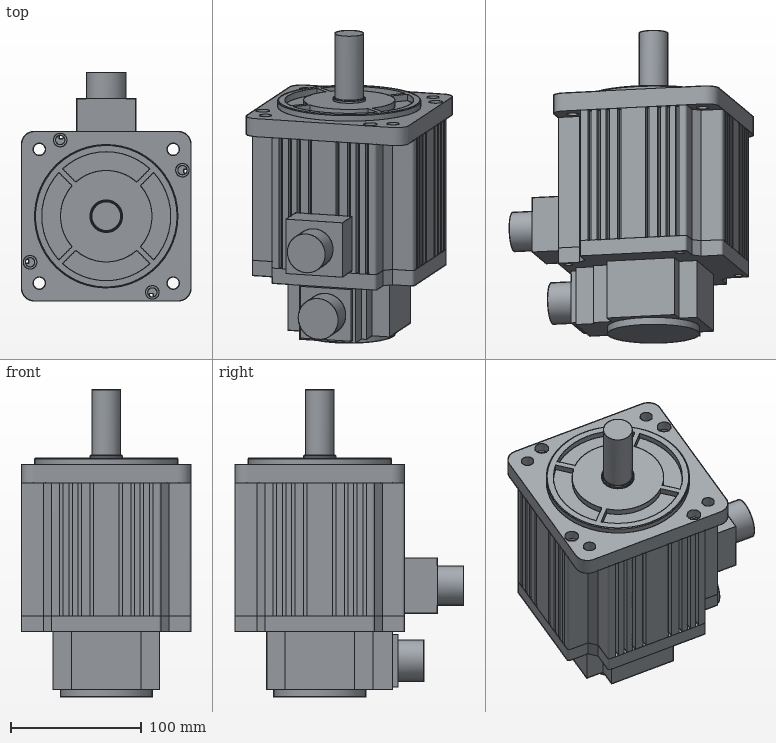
import cadquery as cq
import math


square_side = 130.0
half_side = square_side / 2
overall_depth = 175.0
side_count = 4
quarter_turn = 2 * math.pi / side_count
flange_thickness = 14.0
stator_length = 102.0
end_cap_thickness = 12.0
cover_height = 44.5

flange_bottom = -flange_thickness
stator_bottom = flange_bottom - stator_length
end_cap_bottom = stator_bottom - end_cap_thickness
cover_bottom = end_cap_bottom - cover_height

flange_corner_radius = 10.0
pilot_diameter = 109.7
pilot_height = 5.0
pilot_chamfer = 0.7
pocket_outer_radius = 49.4
pocket_inner_radius = 35.0
pocket_rib_width = 4.0
pocket_rib_angles = [45, 135]
pocket_depth = pilot_height
mount_hole_diameter = 9.2
mount_hole_offset = 51.2
screw_hole_diameter = 7.0
screw_head_diameter = 10.3
screw_head_depth = 8.0
screw_place = (-35.2, 58.3)

shaft_diameter = 22.0
shaft_top = 57.0
shoulder_diameter = 25.0
shoulder_top = 7.0
shoulder_chamfer = 0.7

notch_wall = 42.0
notch_chamfer = 5.9
section_fillet = 1.9
groove_places = [11.0, 20.2, 27.3, 34.5]
groove_width = 2.5
groove_depth = 5.6

cover_side = 81.5
cover_notch = 14.0
cover_disc_diameter = 70.5
cover_disc_height = 5.5
cover_block_width = 45.1
cover_block_end = 55.7

encoder_plate_side = 40.5
encoder_plate_end = 60.0
encoder_socket_diameter = 32.0
encoder_socket_end = 79.7
encoder_socket_z = end_cap_bottom - cover_height / 2

power_box_width = 45.4
power_box_height = 42.5
power_box_end = 90.0
power_socket_diameter = 30.3
power_socket_end = overall_depth - half_side
power_z = -92.8


def rod(diameter, bottom, top):
    """Cylinder on the shaft axis."""
    return cq.Workplane("XY").workplane(offset=bottom).circle(diameter / 2).extrude(top - bottom)


def rear_block(width, height, y_start, y_end, z_centre):
    """Rectangular block that points along +Y, centred on X = 0."""
    length = y_end - y_start
    return cq.Workplane("XY").box(width, length, height).translate((0, y_start + length / 2, z_centre))


def rear_cylinder(diameter, y_start, y_end, z_centre):
    """Cylinder that points along +Y, centred on X = 0."""
    plane = cq.Plane(origin=(0, y_start, z_centre), xDir=(1, 0, 0), normal=(0, 1, 0))
    return cq.Workplane(plane).circle(diameter / 2).extrude(y_end - y_start)


def quarter_turns(x, y):
    """The point and its three copies at quarter turns about the shaft axis."""
    return [(x, y), (-y, x), (-x, -y), (y, -x)]


screw_places = quarter_turns(*screw_place)


def pilot_pockets():
    """Ring on the pilot face that four diagonal ribs split into separate pockets."""
    floor = pilot_height - pocket_depth
    ring = rod(2 * pocket_outer_radius, floor, pilot_height)
    ring = ring.cut(rod(2 * pocket_inner_radius, floor, pilot_height))
    for angle in pocket_rib_angles:
        rib = cq.Workplane("XY").box(2 * pilot_diameter, pocket_rib_width, 2 * pilot_height)
        ring = ring.cut(rib.rotate((0, 0, 0), (0, 0, 1), angle))
    return ring


def make_flange():
    plate = cq.Workplane("XY").rect(square_side, square_side).extrude(-flange_thickness)
    plate = plate.edges("|Z").fillet(flange_corner_radius)
    pilot = rod(pilot_diameter, 0, pilot_height).faces(">Z").chamfer(pilot_chamfer)
    mount_places = quarter_turns(mount_hole_offset, mount_hole_offset)
    mount_holes = cq.Workplane("XY").pushPoints(mount_places).circle(mount_hole_diameter / 2)
    screw_holes = cq.Workplane("XY").pushPoints(screw_places).circle(screw_hole_diameter / 2)
    screw_heads = cq.Workplane("XY").pushPoints(screw_places).circle(screw_head_diameter / 2)
    flange = plate.union(pilot).cut(pilot_pockets())
    flange = flange.cut(mount_holes.extrude(-flange_thickness))
    flange = flange.cut(screw_holes.extrude(-flange_thickness))
    flange = flange.cut(screw_heads.extrude(-screw_head_depth))
    return flange.cut(rod(shoulder_diameter, flange_bottom, pilot_height))


def make_shaft():
    shoulder = rod(shoulder_diameter, flange_bottom, shoulder_top).faces(">Z").chamfer(shoulder_chamfer)
    return shoulder.union(rod(shaft_diameter, shoulder_top, shaft_top))


def notched_prism(top, length):
    """Square prism whose corners are notched, with a chamfer inside each notch."""
    inner = notch_wall + notch_chamfer
    corner = [(half_side, notch_wall), (inner, notch_wall), (notch_wall, inner), (notch_wall, half_side)]
    outline = []
    for turn in range(side_count):
        cosine = round(math.cos(turn * quarter_turn))
        sine = round(math.sin(turn * quarter_turn))
        outline += [(x * cosine - y * sine, x * sine + y * cosine) for x, y in corner]
    prism = cq.Workplane("XY").workplane(offset=top).polyline(outline).close().extrude(-length)
    lip_places = [place for x, y in (corner[0], corner[3]) for place in quarter_turns(x, y)]
    for x, y in lip_places:
        lip = cq.selectors.NearestToPointSelector((x, y, top - length / 2))
        prism = prism.edges(lip).fillet(section_fillet)
    return prism


def make_stator():
    stator = notched_prism(flange_bottom, stator_length)
    groove_y = half_side - groove_depth / 2
    for place in groove_places:
        for x in (-place, place):
            groove = (
                cq.Workplane("XY").workplane(offset=flange_bottom)
                .center(x, groove_y).rect(groove_width, groove_depth).extrude(-stator_length)
            )
            for turn in range(side_count):
                stator = stator.cut(groove.rotate((0, 0, 0), (0, 0, 1), math.degrees(turn * quarter_turn)))
    return stator


def make_end_cap():
    cap = notched_prism(stator_bottom, end_cap_thickness)
    screw_holes = (
        cq.Workplane("XY").workplane(offset=stator_bottom)
        .pushPoints(screw_places).circle(screw_hole_diameter / 2).extrude(-end_cap_thickness)
    )
    return cap.cut(screw_holes)


def make_encoder_cover():
    base = cq.Workplane("XY").workplane(offset=end_cap_bottom)
    narrow_side = cover_side - 2 * cover_notch
    cover = base.rect(cover_side, narrow_side).extrude(-cover_height)
    cover = cover.union(base.rect(narrow_side, cover_side).extrude(-cover_height))
    block = rear_block(cover_block_width, cover_height, 0, cover_block_end, encoder_socket_z)
    disc = rod(cover_disc_diameter, cover_bottom - cover_disc_height, cover_bottom)
    return cover.union(block).union(disc)


def make_encoder_socket():
    plate = rear_block(
        encoder_plate_side, encoder_plate_side, cover_block_end, encoder_plate_end, encoder_socket_z
    )
    barrel = rear_cylinder(
        encoder_socket_diameter, encoder_plate_end, encoder_socket_end, encoder_socket_z
    )
    return plate.union(barrel)


def make_power_box():
    return rear_block(power_box_width, power_box_height, half_side, power_box_end, power_z)


def make_power_socket():
    return rear_cylinder(power_socket_diameter, power_box_end, power_socket_end, power_z)


flange = make_flange()
shaft = make_shaft()
stator = make_stator()
end_cap = make_end_cap()
encoder_cover = make_encoder_cover()
encoder_socket = make_encoder_socket()
power_box = make_power_box()
power_socket = make_power_socket()

result = cq.Compound.makeCompound([
    flange.val(),
    shaft.val(),
    stator.val(),
    end_cap.val(),
    encoder_cover.val(),
    encoder_socket.val(),
    power_box.val(),
    power_socket.val(),
])